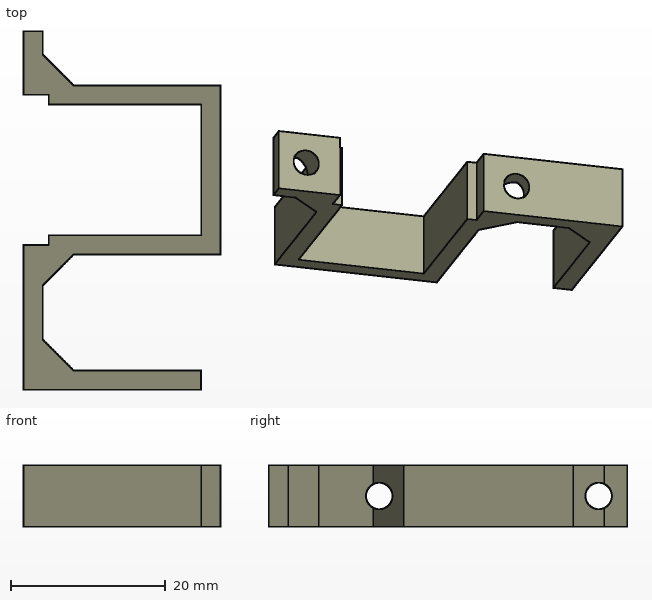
import cadquery as cq

wall = 2.5
depth = 25.5
length = 46.4
height = 8.0

channel_width = 16.9
channel_bottom = 17.5
channel_top = channel_bottom + channel_width + 2 * wall

step_depth = 3.25
step_height = 1.25
gusset = 4.0

lower_arm_length = depth - wall

hole_diameter = 3.4
upper_hole_inset = 3.7
upper_hole_y = length - upper_hole_inset
lower_hole_y = 14.3


def make_bracket():
    """Folded strip profile with gusseted inner corners, extruded along Z."""
    inner_x = depth - wall
    inner_bottom = channel_bottom + wall
    inner_top = channel_top - wall
    outline = [
        (0, 0),
        (lower_arm_length, 0),
        (lower_arm_length, wall),
        (wall + gusset, wall),
        (wall, wall + gusset),
        (wall, channel_bottom - gusset),
        (wall + gusset, channel_bottom),
        (depth, channel_bottom),
        (depth, channel_top),
        (wall + gusset, channel_top),
        (wall, channel_top + gusset),
        (wall, length),
        (0, length),
        (0, inner_top + step_height),
        (step_depth, inner_top + step_height),
        (step_depth, inner_top),
        (inner_x, inner_top),
        (inner_x, inner_bottom),
        (step_depth, inner_bottom),
        (step_depth, inner_bottom - step_height),
        (0, inner_bottom - step_height),
    ]
    return cq.Workplane("XY").polyline(outline).close().extrude(height)


def make_screw_hole(hole_y):
    """Cylinder along X at mid height, long enough to clear flange and gusset."""
    return (
        cq.Workplane("YZ")
        .center(hole_y, height / 2)
        .circle(hole_diameter / 2)
        .extrude(depth)
    )


result = make_bracket()
for hole_y in (lower_hole_y, upper_hole_y):
    result = result.cut(make_screw_hole(hole_y))